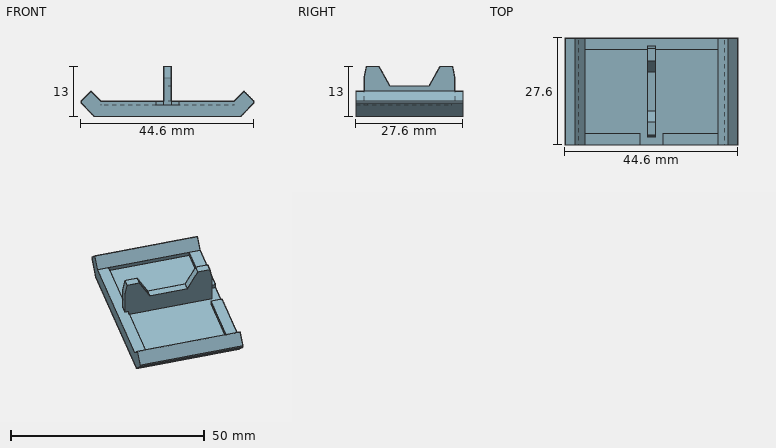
import cadquery as cq

length = 44.6
width = 27.6
plate_height = 4.0
lip_height = 6.6
edge_bottom = 3.55
bottom_half_length = 18.85
lip_rise = lip_height - plate_height

pocket_floor = 3.0
pocket_wall = 3.0
notch_width = 5.98

rib_thickness = 2.0
rib_length = 23.45
rib_height = 13.0
shoulder_height = 10.0
saddle_height = 7.95
saddle_length = 10.1
horn_outer_half = 11.15
horn_inner_half = 7.85


def make_tray():
    """Extrude the end-to-end section, with 45 degree lip faces, across the width."""
    half = length / 2
    lip_peak = half - lip_rise
    lip_foot = lip_peak - lip_rise
    section = [
        (-bottom_half_length, 0),
        (bottom_half_length, 0),
        (half, edge_bottom),
        (half, plate_height),
        (lip_peak, lip_height),
        (lip_foot, plate_height),
        (-lip_foot, plate_height),
        (-lip_peak, lip_height),
        (-half, plate_height),
        (-half, edge_bottom),
    ]
    tray = cq.Workplane("XZ").polyline(section).close().extrude(width / 2, both=True)

    pocket_depth = plate_height - pocket_floor
    floor = cq.Workplane("XY").workplane(offset=pocket_floor)
    pocket = floor.rect(2 * lip_foot, width - 2 * pocket_wall).extrude(pocket_depth)
    notch_center_y = (pocket_wall - width) / 2
    notch = floor.center(0, notch_center_y).rect(notch_width, pocket_wall).extrude(pocket_depth)
    return tray.cut(pocket).cut(notch)


def make_rib():
    """Extrude the horned rib profile, centred across its thickness."""
    half = rib_length / 2
    saddle_half = saddle_length / 2
    profile = [
        (-half, pocket_floor),
        (half, pocket_floor),
        (half, shoulder_height),
        (horn_outer_half, rib_height),
        (horn_inner_half, rib_height),
        (saddle_half, saddle_height),
        (-saddle_half, saddle_height),
        (-horn_inner_half, rib_height),
        (-horn_outer_half, rib_height),
        (-half, shoulder_height),
    ]
    return cq.Workplane("YZ").polyline(profile).close().extrude(rib_thickness / 2, both=True)


result = make_tray().union(make_rib())